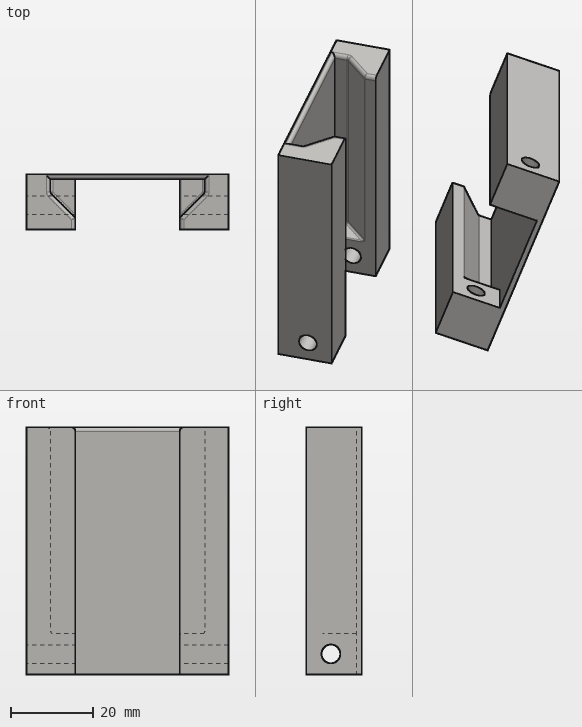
import cadquery as cq

width = 49.0
depth = 13.5
height = 60.0

back_wall = 1.33
gap_width = 25.3
slot_width = 37.35
slot_side_depth = 3.25
slot_floor = 10.0

mouth_round = 1.0
slot_fillet = 0.55
ledge_round = 0.3

hole_diameter = 4.5
hole_y = 6.0
hole_z = 5.0

slot_back_y = depth - back_wall
slot_corner_y = slot_back_y - slot_side_depth
flare_end_y = slot_corner_y - (slot_width - gap_width) / 2


def make_block():
    """Full block, centred on X, front face on Y = 0 and base on Z = 0."""
    return cq.Workplane("XY").box(width, depth, height, centered=(True, False, False))


def make_gap():
    """Rectangular channel open to the front, top and bottom."""
    return cq.Workplane("XY").box(gap_width, slot_back_y, height, centered=(True, False, False))


def make_slot():
    """Wide slot with 45 degree flares, filleted along its floor and side-to-flare corners."""
    slot = (
        cq.Workplane("XY")
        .workplane(offset=slot_floor)
        .moveTo(-gap_width / 2, flare_end_y)
        .lineTo(-slot_width / 2, slot_corner_y)
        .lineTo(-slot_width / 2, slot_back_y)
        .lineTo(slot_width / 2, slot_back_y)
        .lineTo(slot_width / 2, slot_corner_y)
        .lineTo(gap_width / 2, flare_end_y)
        .close()
        .extrude(height - slot_floor)
    )
    margin = slot_fillet / 2
    for side in (-1, 1):
        corner = (side * slot_width / 2, slot_corner_y, (slot_floor + height) / 2)
        slot = slot.edges(cq.selectors.NearestToPointSelector(corner)).fillet(slot_fillet)
    selector = cq.selectors.BoxSelector(
        (-slot_width, flare_end_y + margin, slot_floor - margin),
        (slot_width, slot_back_y - margin, slot_floor + margin),
    )
    return slot.edges(selector).fillet(slot_fillet)


def round_mouth(body):
    """Round the top rim of the slot and gap."""
    margin = mouth_round / 10
    selector = cq.selectors.BoxSelector(
        (-slot_width / 2 - margin, margin, height - margin),
        (slot_width / 2 + margin, slot_back_y + margin, height + margin),
    )
    return body.edges(selector).fillet(mouth_round)


def round_ledges(body):
    """Round the two edges where the slot floor meets the gap."""
    for side in (-1, 1):
        edge_middle = (side * gap_width / 2, (flare_end_y + slot_back_y) / 2, slot_floor)
        body = body.edges(cq.selectors.NearestToPointSelector(edge_middle)).fillet(ledge_round)
    return body


def make_cross_hole():
    """Cylinder along X through both side walls."""
    return (
        cq.Workplane("YZ")
        .center(hole_y, hole_z)
        .circle(hole_diameter / 2)
        .extrude(width / 2, both=True)
    )


body = make_block().cut(make_gap()).cut(make_slot())
body = round_mouth(body)
body = round_ledges(body)
result = body.cut(make_cross_hole())